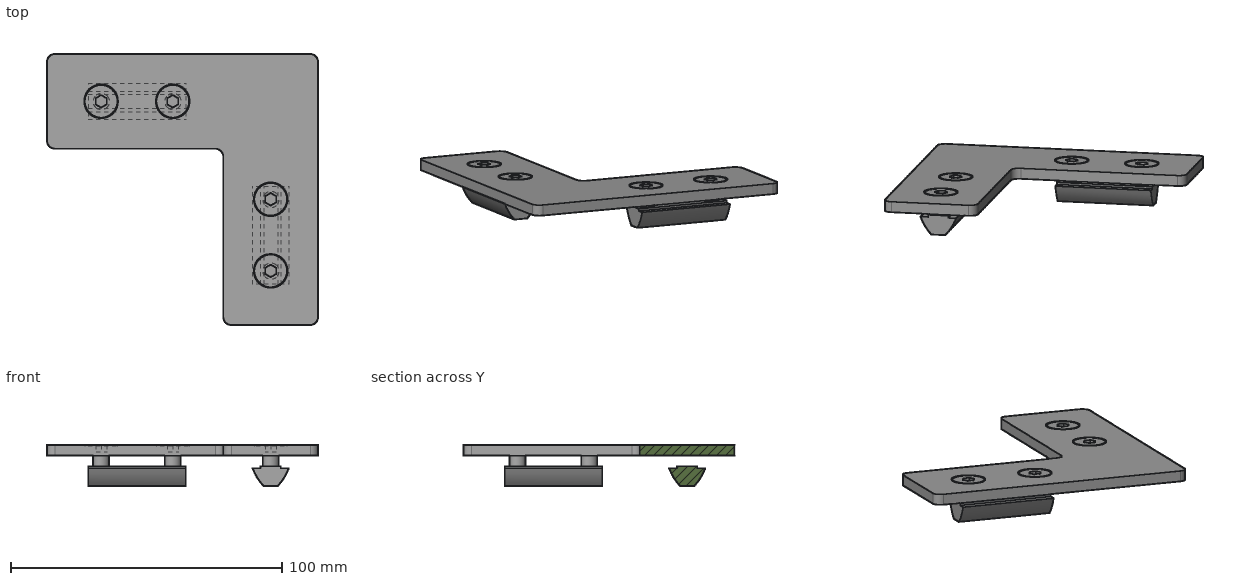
import cadquery as cq
import math

plate_size = 100.0
arm_width = 35.0
plate_thickness = 4.0
corner_radius = 3.0

screws_per_arm = 2
screw_end_offset = 20.0
screw_spacing = 26.4
shank_diameter = 6.0
head_diameter = 12.0
countersink_diameter = 12.5
socket_across_flats = 4.0
socket_depth = 2.5
socket_turn = 30.0

total_height = 15.2
nut_length = 36.0
nut_top_depth = 7.8
nut_lip_height = 0.8
nut_lip_width = 7.6
nut_shoulder_width = 13.4
nut_base_width = 5.2
nut_flank_bulge = 0.4

half_size = plate_size / 2
arm_center = half_size - arm_width / 2
screw_stations = [-half_size + screw_end_offset + i * screw_spacing for i in range(screws_per_arm)]
screw_points = [(s, arm_center) for s in screw_stations] + [(arm_center, s) for s in screw_stations]


def make_plate():
    """L plate with every vertical corner rounded."""
    inner = half_size - arm_width
    outline = [
        (-half_size, half_size),
        (half_size, half_size),
        (half_size, -half_size),
        (inner, -half_size),
        (inner, inner),
        (-half_size, inner),
    ]
    plate = cq.Workplane("XY").polyline(outline).close().extrude(-plate_thickness)
    return plate.edges("|Z").fillet(corner_radius)


def cut_screw_heads(body):
    """Form each flush head: a ring gap left by the 90 degree countersink, and a hex socket."""
    gap = (countersink_diameter - head_diameter) / 2
    ring_profile = [
        (head_diameter / 2, 0),
        (countersink_diameter / 2, 0),
        (head_diameter / 2, -gap),
    ]
    ring = cq.Workplane("XZ").polyline(ring_profile).close().revolve(360, (0, 0), (0, 1))
    socket_corner_diameter = socket_across_flats / math.cos(math.pi / 6)
    socket = (
        cq.Workplane("XY")
        .polygon(6, socket_corner_diameter)
        .extrude(-socket_depth)
        .rotate((0, 0, 0), (0, 0, 1), socket_turn)
    )
    for x, y in screw_points:
        body = body.cut(ring.translate((x, y, 0))).cut(socket.translate((x, y, 0)))
    return body


def make_shanks():
    """Visible shanks between the plate and the nuts."""
    return (
        cq.Workplane("XY", origin=(0, 0, -plate_thickness))
        .pushPoints(screw_points)
        .circle(shank_diameter / 2)
        .extrude(plate_thickness - nut_top_depth)
    )


def make_nut():
    """Slot nut along +X, starting at X = 0, with its section centred on Y = 0."""
    top_z = -nut_top_depth
    shoulder_z = top_z - nut_lip_height
    lip = nut_lip_width / 2
    shoulder = nut_shoulder_width / 2
    base = nut_base_width / 2
    return (
        cq.Workplane("YZ")
        .moveTo(-lip, top_z)
        .lineTo(lip, top_z)
        .lineTo(lip, shoulder_z)
        .lineTo(shoulder, shoulder_z)
        .sagittaArc((base, -total_height), nut_flank_bulge)
        .lineTo(-base, -total_height)
        .sagittaArc((-shoulder, shoulder_z), nut_flank_bulge)
        .lineTo(-lip, shoulder_z)
        .close()
        .extrude(nut_length)
    )


nut_start = sum(screw_stations) / len(screw_stations) - nut_length / 2
nut_along_x = make_nut().translate((nut_start, arm_center, 0))
nut_along_y = make_nut().rotate((0, 0, 0), (0, 0, 1), 90).translate((arm_center, nut_start, 0))

plate_with_screws = cut_screw_heads(make_plate()).union(make_shanks())
result = plate_with_screws.union(nut_along_x).union(nut_along_y)